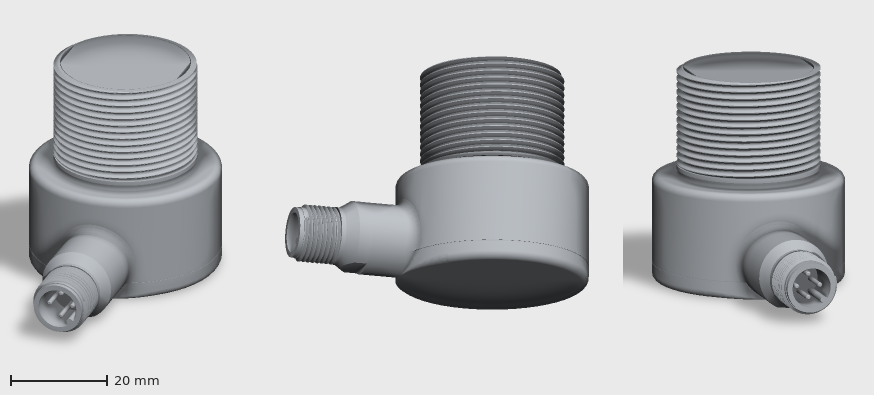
import cadquery as cq
import math

housing_radius = 20.09
housing_height = 22.4
housing_edge_fillet = 1.5
fillet_fade_angle = 45
fillet_fade_radius = 0.1
cover_height = 3.8
seam_width = 0.15
seam_depth = 0.1

overall_height = 45.0
barrel_radius = 15.0
barrel_pitch = 1.5
barrel_thread_depth = 1.05
barrel_thread_start_z = 24.1
barrel_thread_start_angle = 0
barrel_thread_overrun = 0.9
barrel_plain_top_z = 24.5
neck_radius = 14.5
neck_top_z = 23.65
neck_fillet = 0.7

face_radius = 13.5
face_gap = 0.1
face_flat_distance = 12.75
face_pocket_depth = 1.0

stem_axis_z = 7.5
tube_radius = 7.52
tube_end = 28.5
tube_fillet = 1.5
collar_radius = 7.55
collar_end = 31.2
collar_flat_z = 0.96
taper_end = 33.65

connector_radius = 6.0
connector_pitch = 1.0
connector_thread_depth = 0.6
connector_thread_start = 34.2
connector_thread_start_angle = 90
connector_plain_end = 34.6
connector_thread_end = 42.5
nose_radius = 5.24
overall_length = 63.56
nose_end = overall_length - housing_radius
bore_radius = 4.15
bore_depth = 9.0

pin_count = 4
pin_circle_radius = 2.5
pin_radius = 0.5
pin_tip_chamfer = 0.2
pin_recess = 2.0
key_radius = 0.7
key_distance = 3.75
key_angle = -45

ridge_root_ratio = 0.94
ridge_crest_ratio = 0.1
ridge_embed = 0.1


def stem_plane(distance):
    """Workplane across the stem, facing along -Y, at the given distance from the Z axis."""
    return cq.Workplane("XZ", origin=(0, -distance, stem_axis_z))


def slab(bottom_z, top_z):
    """Block wider than the part, used to keep only what lies between two heights."""
    width = 2 * overall_length
    return cq.Workplane("XY", origin=(0, 0, bottom_z)).rect(width, width).extrude(top_z - bottom_z)


def stem_cylinder(radius, start, end):
    return stem_plane(start).circle(radius).extrude(end - start)


def thread_ridge(radius, depth, pitch, start, end, start_angle):
    """Right-handed helical thread ridge round the Z axis, its centre line running from start to end."""
    root_radius = radius - depth
    root_half = ridge_root_ratio * pitch / 2
    crest_half = ridge_crest_ratio * pitch / 2
    helix = cq.Workplane(obj=cq.Wire.makeHelix(pitch, end - start, root_radius))
    ridge = (
        cq.Workplane("XZ")
        .moveTo(root_radius - ridge_embed, -root_half)
        .lineTo(radius, -crest_half)
        .lineTo(radius, crest_half)
        .lineTo(root_radius - ridge_embed, root_half)
        .close()
        .sweep(helix, isFrenet=True)
    )
    return ridge.rotate((0, 0, 0), (0, 0, 1), start_angle).translate((0, 0, start))


def make_cover():
    """Bottom cover: full fillet round the back, fading to nothing under the tube."""
    def rim_point(angle):
        return housing_radius * math.sin(angle), -housing_radius * math.cos(angle)

    fade = math.radians(fillet_fade_angle)
    blank = (
        cq.Workplane("XY")
        .moveTo(*rim_point(fade))
        .threePointArc(rim_point(math.pi), rim_point(-fade))
        .threePointArc(rim_point(-fade / 2), rim_point(0))
        .threePointArc(rim_point(fade / 2), rim_point(fade))
        .close()
        .extrude(cover_height, clean=False)
    )
    fillet = cq.occ_impl.shapes.BRepFilletAPI_MakeFillet(blank.val().wrapped)
    edges = blank.faces("<Z").edges().vals()
    fillet.Add(edges[0].wrapped)
    for position in range(1, fillet.NbEdges(1) + 1):
        edge = cq.Edge(fillet.Edge(1, position))
        radii = []
        for point in (edge.startPoint(), edge.endPoint()):
            is_front = abs(point.x) < tube_radius
            radii.append(fillet_fade_radius if is_front else housing_edge_fillet)
        fillet.SetRadius(*radii, 1, position)
    return cq.Workplane(obj=cq.Shape.cast(fillet.Shape()))


def make_upper_housing():
    """Housing above the cover, with the upper part of the tube blended into it."""
    height = housing_height - cover_height
    body = (
        cq.Workplane("XY", origin=(0, 0, cover_height))
        .circle(housing_radius)
        .extrude(height)
        .faces(">Z")
        .edges()
        .fillet(housing_edge_fillet)
    )
    tube = stem_cylinder(tube_radius, 0, tube_end).intersect(slab(cover_height, housing_height))
    joint_top = stem_axis_z + tube_radius + tube_fillet
    joint = cq.selectors.BoxSelector(
        (-tube_radius, -housing_radius - tube_fillet, cover_height + tube_fillet),
        (tube_radius, -housing_radius + 2 * tube_fillet, joint_top),
    )
    return body.union(tube).edges(joint).fillet(tube_fillet)


def make_stem():
    """Tube, collar and taper, with flats on the underside."""
    tube = stem_cylinder(tube_radius, 0, tube_end).intersect(slab(0, housing_height))
    taper = (
        cq.Workplane("YZ", origin=(0, 0, stem_axis_z))
        .moveTo(-tube_end, 0)
        .lineTo(-tube_end, collar_radius)
        .lineTo(-collar_end, collar_radius)
        .lineTo(-taper_end, connector_radius)
        .lineTo(-taper_end, 0)
        .close()
        .revolve(360, (0, 0, 0), (1, 0, 0))
    )
    return tube.union(taper.intersect(slab(collar_flat_z, housing_height)))


def make_barrel():
    """Threaded barrel with a filleted relief neck where it meets the housing."""
    core_radius = barrel_radius - barrel_thread_depth
    barrel = (
        cq.Workplane("XZ")
        .moveTo(0, housing_height)
        .lineTo(neck_radius + neck_fillet, housing_height)
        .radiusArc((neck_radius, housing_height + neck_fillet), neck_fillet)
        .lineTo(neck_radius, neck_top_z)
        .lineTo(barrel_radius, neck_top_z)
        .lineTo(barrel_radius, barrel_plain_top_z)
        .lineTo(core_radius, barrel_plain_top_z)
        .lineTo(core_radius, overall_height)
        .lineTo(0, overall_height)
        .close()
        .revolve(360, (0, 0, 0), (0, 1, 0))
    )
    ridge = thread_ridge(
        barrel_radius,
        barrel_thread_depth,
        barrel_pitch,
        barrel_thread_start_z,
        overall_height + barrel_thread_overrun,
        barrel_thread_start_angle,
    )
    above_top = slab(overall_height, overall_height + 2 * barrel_pitch)
    return barrel.union(ridge.cut(above_top))


def make_face_pocket():
    """Socket round the sensing face: two segments beside its flats, joined by a thin gap."""
    floor = cq.Workplane("XY", origin=(0, 0, overall_height - face_pocket_depth))
    socket = floor.circle(face_radius + face_gap).extrude(face_pocket_depth)
    flats = floor.rect(2 * face_flat_distance, 2 * face_radius).extrude(face_pocket_depth)
    face = floor.circle(face_radius).extrude(face_pocket_depth).intersect(flats)
    return socket.cut(face)


def make_connector():
    """Threaded connector shank with its plain nose, bored for the pins."""
    plain_shank = stem_cylinder(connector_radius, taper_end, connector_plain_end)
    core = stem_cylinder(connector_radius - connector_thread_depth, taper_end, connector_thread_end)
    ridge = thread_ridge(
        connector_radius,
        connector_thread_depth,
        connector_pitch,
        connector_thread_start,
        connector_thread_end - connector_pitch / 2,
        connector_thread_start_angle,
    )
    ridge = ridge.rotate((0, 0, 0), (1, 0, 0), 90).translate((0, 0, stem_axis_z))
    nose = stem_cylinder(nose_radius, connector_thread_end, nose_end)
    bore = stem_cylinder(bore_radius, nose_end - bore_depth, nose_end)
    return core.union(plain_shank).union(ridge).union(nose).cut(bore)


def make_pins():
    pin_length = bore_depth - pin_recess
    return (
        stem_plane(nose_end - bore_depth)
        .polarArray(pin_circle_radius, 0, 360, pin_count)
        .circle(pin_radius)
        .extrude(pin_length)
        .faces("<Y")
        .edges()
        .chamfer(pin_tip_chamfer)
    )


def make_key():
    """Round-nosed rib along the bore wall, over the full bore depth."""
    floor = stem_plane(nose_end - bore_depth).transformed(rotate=(0, 0, key_angle))
    wall_radius = (bore_radius + nose_radius) / 2
    rib_length = wall_radius - key_distance
    tip = floor.center(key_distance, 0).circle(key_radius).extrude(bore_depth)
    rib = floor.center(key_distance + rib_length / 2, 0).rect(rib_length, 2 * key_radius).extrude(bore_depth)
    inside = stem_cylinder(wall_radius, nose_end - bore_depth, nose_end)
    return tip.union(rib).intersect(inside)


def make_seam():
    """Shallow groove between the cover and the housing."""
    seam_bottom = cq.Workplane("XY", origin=(0, 0, cover_height - seam_width / 2))
    ring = (
        seam_bottom
        .circle(housing_radius + seam_depth)
        .circle(housing_radius - seam_depth)
        .extrude(seam_width)
    )
    return ring.cut(stem_cylinder(tube_radius, 0, tube_end))


result = make_upper_housing().union(make_cover()).cut(make_seam())
result = result.union(make_stem())
result = result.union(make_barrel().cut(make_face_pocket()))
result = result.union(make_connector()).union(make_pins()).union(make_key())